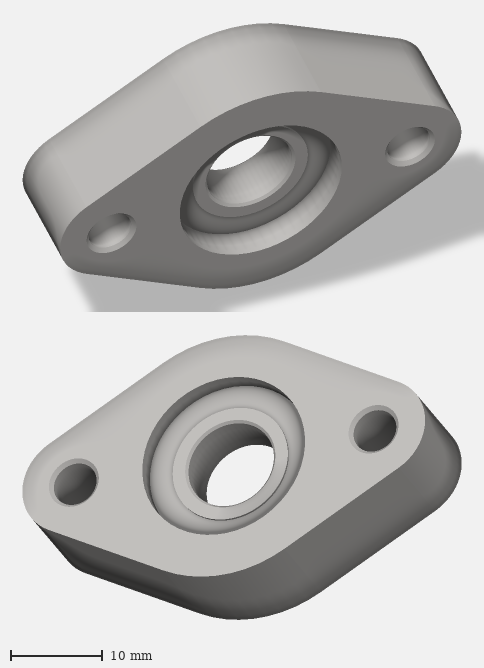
import cadquery as cq
import math

thickness = 11.0
hub_radius = 14.5
tip_radius = 6.0
half_length = 23.5
tip_offset = half_length - tip_radius
mount_hole_radius = 2.5
mount_chamfer = 0.4

bearing_radius = 9.5
race_radius = 6.7
bore_radius = 5.0
bore_chamfer = 0.3
recess_depth = 2.25
ring_width = 5.45
race_proud = 0.3


def cylinder(radius, start_x, length):
    """Cylinder along X, centred on the X axis."""
    return cq.Workplane("YZ", origin=(start_x, 0, 0)).circle(radius).extrude(length)


def make_flange():
    tangent_cos = (hub_radius - tip_radius) / tip_offset
    tangent_sin = math.sqrt(1 - tangent_cos**2)
    hub_y = hub_radius * tangent_cos
    hub_z = hub_radius * tangent_sin
    tip_y = tip_offset + tip_radius * tangent_cos
    tip_z = tip_radius * tangent_sin

    plate = (
        cq.Workplane("YZ")
        .moveTo(-hub_y, hub_z)
        .threePointArc((0, hub_radius), (hub_y, hub_z))
        .lineTo(tip_y, tip_z)
        .threePointArc((half_length, 0), (tip_y, -tip_z))
        .lineTo(hub_y, -hub_z)
        .threePointArc((0, -hub_radius), (-hub_y, -hub_z))
        .lineTo(-tip_y, -tip_z)
        .threePointArc((-half_length, 0), (-tip_y, tip_z))
        .close()
        .extrude(thickness)
    )

    drill = cylinder(mount_hole_radius, 0, thickness)
    for side in (-1, 1):
        plate = plate.cut(drill.translate((0, side * tip_offset, 0)))
    plate = plate.edges(cq.selectors.RadiusNthSelector(0)).chamfer(mount_chamfer)

    return plate.cut(cylinder(bearing_radius, 0, thickness))


def make_outer_ring():
    ring = cylinder(bearing_radius, recess_depth, ring_width)
    return ring.cut(cylinder(race_radius, recess_depth, ring_width))


def make_inner_ring():
    start_x = recess_depth - race_proud
    width = ring_width + 2 * race_proud
    ring = cylinder(race_radius, start_x, width).cut(cylinder(bore_radius, start_x, width))
    return ring.edges(cq.selectors.RadiusNthSelector(0)).chamfer(bore_chamfer)


flange = make_flange()
outer_ring = make_outer_ring()
inner_ring = make_inner_ring()

result = cq.Compound.makeCompound([flange.val(), outer_ring.val(), inner_ring.val()])